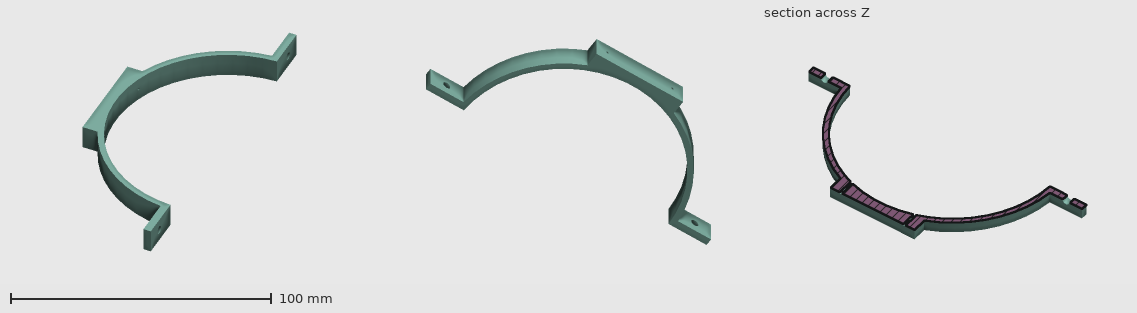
import cadquery as cq

overall_length = 130.0
overall_depth = 50.5
height = 10.0
inner_radius = 47.5
band_thickness = 2.5
tab_thickness = 3.1
pad_length = 40.0
pad_wall = 4.7
tab_hole_diameter = 3.2
tab_hole_spacing = 114.9
pad_hole_diameter = 1.0
pad_hole_spacing = 30.2

outer_radius = inner_radius + band_thickness
pad_face_x = -inner_radius - pad_wall
tab_back_x = pad_face_x + overall_depth
tab_front_x = tab_back_x - tab_thickness


def block(x_min, x_max, length):
    """Full-height block centred on Y and Z."""
    return cq.Workplane("XY").box(x_max - x_min, length, height).translate(((x_min + x_max) / 2, 0, 0))


def cylinder(radius):
    """Full-height cylinder on the band axis."""
    return cq.Workplane("XY").circle(radius).extrude(height / 2, both=True)


def hole_pair(diameter, spacing):
    """Two drills along X, spaced symmetrically in Y, crossing the whole part."""
    return (
        cq.Workplane("YZ", origin=(pad_face_x, 0, 0))
        .pushPoints([(-spacing / 2, 0), (spacing / 2, 0)])
        .circle(diameter / 2)
        .extrude(overall_depth)
    )


band = cylinder(outer_radius).intersect(block(pad_face_x, tab_back_x, overall_length))

pad = block(pad_face_x, tab_front_x, pad_length)
tabs = block(tab_front_x, tab_back_x, overall_length)
body = band.union(pad).union(tabs).cut(cylinder(inner_radius))

tab_holes = hole_pair(tab_hole_diameter, tab_hole_spacing)
pad_holes = hole_pair(pad_hole_diameter, pad_hole_spacing)
result = body.cut(tab_holes).cut(pad_holes)